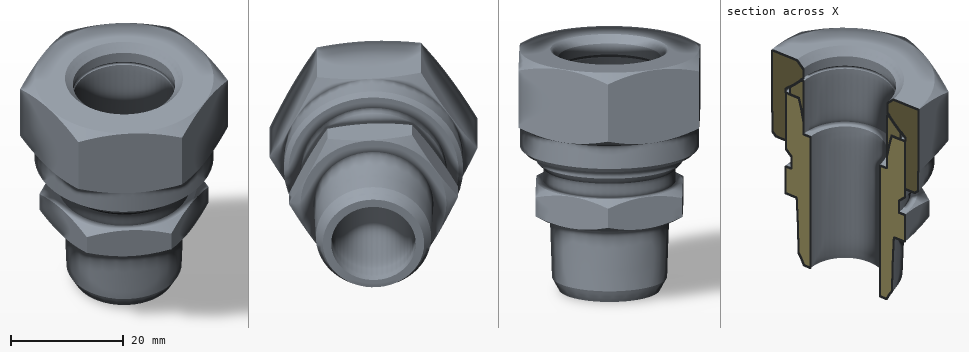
import cadquery as cq
import math

TOTAL_HEIGHT = 44.0
HEX_CHAMFER_ANGLE = math.radians(30)
HEX_CHAMFER_INSET = 0.18

FLOW_BORE_DIA = 15.0
TUBE_DIA = 18.0
NECK_DIA = 23.5
NUT_THREAD_DIA = 26.0
BODY_HEX_FLATS = 26.05
TAPER_END_DIA = 20.45
TAPER_ROOT_DIA = 21.25
BODY_TIP_DIA = 18.0
TIP_CHAMFER_TOP_Z = 2.3
BODY_HEX_BOTTOM_Z = 14.05
BODY_HEX_TOP_Z = 19.98
NECK_TOP_Z = 22.5
TUBE_STOP_Z = 28.5
BODY_MOUTH_Z = 36.0
thread_start_z = NECK_TOP_Z + (NUT_THREAD_DIA - NECK_DIA) / 2

RING_NOSE_WALL = 0.1
RING_BOTTOM_Z = 31.5
RING_TOP_Z = 40.0
RING_TOP_DIA = 19.35
RING_FLANGE_DIA = 24.15
SEAT_HALF_ANGLE = math.radians(12)
nose_radius = TUBE_DIA / 2 + RING_NOSE_WALL
mouth_radius = nose_radius + (BODY_MOUTH_Z - RING_BOTTOM_Z) * math.tan(SEAT_HALF_ANGLE)
flange_top_z = RING_TOP_Z - (RING_FLANGE_DIA - RING_TOP_DIA) / 2

NUT_HEX_FLATS = 32.0
NUT_BORE_DIA = 18.15
COUNTERSINK_DIA = 20.95
NUT_BOTTOM_Z = 25.5
COLLAR_CHAMFER = 0.8
NUT_HEX_BOTTOM_Z = 30.55
collar_radius = (NUT_HEX_FLATS - HEX_CHAMFER_INSET) / 2
countersink_depth = (COUNTERSINK_DIA - NUT_BORE_DIA) / 2


def revolve_profile(points):
    """Revolve a closed (radius, z) outline about the Z axis."""
    return cq.Workplane("XZ").polyline(points).close().revolve(360, (0, 0), (0, 1))


def chamfered_hex(flats, bottom_z, top_z):
    """Hexagonal prism with corners on X and both ends turned to a 30 degree chamfer."""
    corner_radius = flats / math.sqrt(3)
    face_radius = (flats - HEX_CHAMFER_INSET) / 2
    drop = (corner_radius - face_radius) * math.tan(HEX_CHAMFER_ANGLE)
    prism = (
        cq.Workplane("XY")
        .workplane(offset=bottom_z)
        .polygon(6, 2 * corner_radius)
        .extrude(top_z - bottom_z)
    )
    turned_envelope = revolve_profile([
        (0, bottom_z),
        (face_radius, bottom_z),
        (corner_radius, bottom_z + drop),
        (corner_radius, top_z - drop),
        (face_radius, top_z),
        (0, top_z),
    ])
    return prism.intersect(turned_envelope)


def make_body():
    """Taper-threaded stub, hexagon, neck and nut thread around a stepped bore."""
    outside = revolve_profile([
        (0, 0),
        (BODY_TIP_DIA / 2, 0),
        (TAPER_END_DIA / 2, TIP_CHAMFER_TOP_Z),
        (TAPER_ROOT_DIA / 2, BODY_HEX_BOTTOM_Z),
        (NECK_DIA / 2, BODY_HEX_BOTTOM_Z),
        (NECK_DIA / 2, NECK_TOP_Z),
        (NUT_THREAD_DIA / 2, thread_start_z),
        (NUT_THREAD_DIA / 2, BODY_MOUTH_Z),
        (0, BODY_MOUTH_Z),
    ])
    bore = revolve_profile([
        (0, 0),
        (FLOW_BORE_DIA / 2, 0),
        (FLOW_BORE_DIA / 2, TUBE_STOP_Z),
        (TUBE_DIA / 2, TUBE_STOP_Z),
        (TUBE_DIA / 2, RING_BOTTOM_Z),
        (nose_radius, RING_BOTTOM_Z),
        (mouth_radius, BODY_MOUTH_Z),
        (0, BODY_MOUTH_Z),
    ])
    hexagon = chamfered_hex(BODY_HEX_FLATS, BODY_HEX_BOTTOM_Z, BODY_HEX_TOP_Z)
    return outside.union(hexagon).cut(bore)


def make_cutting_ring():
    """Ring with a nose in the body seat and a 45 degree shoulder against the nut."""
    return revolve_profile([
        (TUBE_DIA / 2, RING_BOTTOM_Z),
        (nose_radius, RING_BOTTOM_Z),
        (mouth_radius, BODY_MOUTH_Z),
        (RING_FLANGE_DIA / 2, BODY_MOUTH_Z),
        (RING_FLANGE_DIA / 2, flange_top_z),
        (RING_TOP_DIA / 2, RING_TOP_Z),
        (TUBE_DIA / 2, RING_TOP_Z),
    ])


def make_nut():
    """Hexagonal nut with a round collar, a threaded cavity and a 45 degree inner cone."""
    collar = revolve_profile([
        (0, NUT_BOTTOM_Z),
        (collar_radius - COLLAR_CHAMFER, NUT_BOTTOM_Z),
        (collar_radius, NUT_BOTTOM_Z + COLLAR_CHAMFER),
        (collar_radius, NUT_HEX_BOTTOM_Z),
        (0, NUT_HEX_BOTTOM_Z),
    ])
    cone_bottom_z = RING_TOP_Z - (NUT_THREAD_DIA - RING_TOP_DIA) / 2
    cone_top_z = RING_TOP_Z + (RING_TOP_DIA - NUT_BORE_DIA) / 2
    cavity = revolve_profile([
        (0, NUT_BOTTOM_Z),
        (NUT_THREAD_DIA / 2, NUT_BOTTOM_Z),
        (NUT_THREAD_DIA / 2, cone_bottom_z),
        (NUT_BORE_DIA / 2, cone_top_z),
        (NUT_BORE_DIA / 2, TOTAL_HEIGHT - countersink_depth),
        (COUNTERSINK_DIA / 2, TOTAL_HEIGHT),
        (0, TOTAL_HEIGHT),
    ])
    hexagon = chamfered_hex(NUT_HEX_FLATS, NUT_HEX_BOTTOM_Z, TOTAL_HEIGHT)
    return hexagon.union(collar).cut(cavity)


body = make_body().solids()
cutting_ring = make_cutting_ring().solids()
nut = make_nut().solids()

result = cq.Compound.makeCompound([body.val(), cutting_ring.val(), nut.val()])